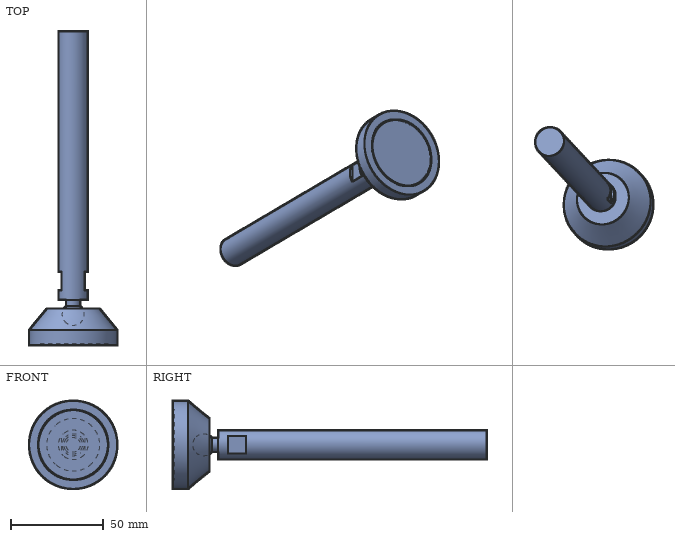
import cadquery as cq


foot_diameter = 48.0
foot_top_diameter = 28.5
foot_rim_height = 8.3
foot_height = 20.0
groove_outer_diameter = 38.0
groove_inner_diameter = 37.5
groove_depth = 1.0

stud_end = 170.0
stud_diameter = 16.0
stud_shoulder = 24.6
neck_diameter = 7.8
ball_diameter = 11.9
ball_center = 16.8
flats_start = 30.0
flats_length = 9.9
across_flats = 12.8


def cylinder(diameter, start, end):
    """Cylinder on the Y axis between two Y positions."""
    return cq.Workplane("XZ", origin=(0, start, 0)).circle(diameter / 2).extrude(start - end)


def ball():
    """Ball end of the stud, also used to cut its socket."""
    return cq.Workplane("XY").sphere(ball_diameter / 2).translate((0, ball_center, 0))


def make_foot():
    """Conical foot with a thin ring groove underneath and a socket open at the top."""
    profile = [
        (0, 0),
        (foot_diameter / 2, 0),
        (foot_diameter / 2, foot_rim_height),
        (foot_top_diameter / 2, foot_height),
        (0, foot_height),
    ]
    body = cq.Workplane("XY").polyline(profile).close().revolve(360, (0, 0, 0), (0, 1, 0))
    groove = cylinder(groove_outer_diameter, 0, groove_depth).cut(
        cylinder(groove_inner_diameter, 0, groove_depth)
    )
    return body.cut(groove).cut(ball())


def make_stud():
    """Long rod with two wrench flats, a neck and a ball end."""
    rod = cylinder(stud_diameter, stud_shoulder, stud_end)
    flat_depth = (stud_diameter - across_flats) / 2
    for side in (-1, 1):
        cutter = cq.Workplane("XY").box(flat_depth, flats_length, stud_diameter).translate(
            (side * (across_flats + flat_depth) / 2, flats_start + flats_length / 2, 0)
        )
        rod = rod.cut(cutter)
    neck = cylinder(neck_diameter, ball_center, stud_shoulder)
    return rod.union(neck).union(ball())


foot = make_foot()
stud = make_stud()

result = cq.Compound.makeCompound([foot.solids().val(), stud.solids().val()])